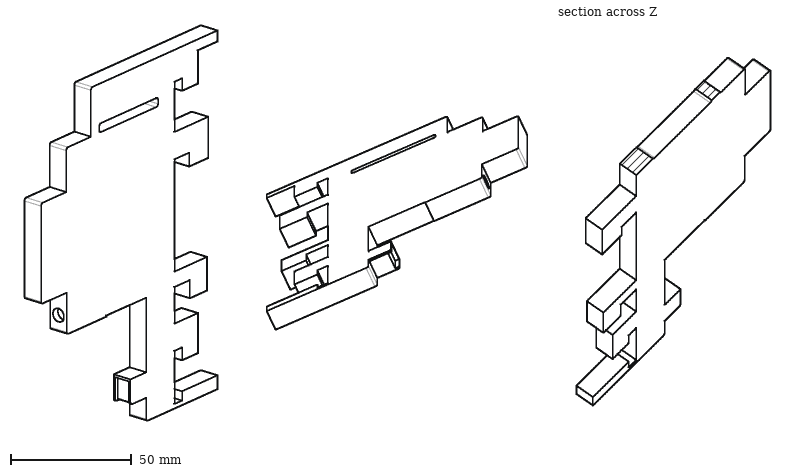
import cadquery as cq

thickness = 9.0
depth = 114.5
height = 160.0

front_y = -depth / 2
back_y = depth / 2
shoulder_y = front_y + 16.3
lower_shoulder_y = front_y + 16.6
top_front_y = front_y + 32.3
step_y = front_y + 42.4
boss_front_y = front_y + 58.0
stem_front_y = front_y + 68.2
spine_y = front_y + 86.6

bottom_z = -height / 2
top_z = height / 2
upper_shoulder_z = top_z - 22.0
nose_top_z = top_z - 41.6
nose_bottom_z = top_z - 86.6
body_bottom_z = top_z - 105.3
step_height = 0.5
boss_top_z = top_z - 138.1
boss_bottom_z = top_z - 150.1
boss_bottom_step = 0.6

top_arm_height = 5.0
bottom_arm_height = 6.2
bottom_notch_depth = 4.2
notch_width = 4.8
lip_tip_y = back_y - 12.6

hooks = [
    (lip_tip_y, top_z - top_arm_height, top_z - 14.2, top_z - 19.8, spine_y + notch_width),
    (back_y - 6.0, top_z - 36.7, top_z - 48.8, top_z - 55.0, spine_y + 9.5),
    (back_y - 6.7, top_z - 98.9, top_z - 105.8, top_z - 114.0, spine_y + 10.0),
    (lip_tip_y, top_z - 122.1, top_z - 134.3, top_z - 140.0, spine_y + notch_width),
]

corner_radius = 1.1

slot_length = 38.1
slot_height = 4.0
slot_center_y = top_front_y + 24.5
slot_center_z = top_z - 19.8

hole_diameter = 6.0
hole_depth = 3.2
hole_z = top_z - 97.8

recess_width = 7.4
recess_depth = 1.8
recess_top_gap = 1.1


def block(y_min, y_max, z_min, z_max, width=thickness):
    """Box centred on X = 0 that spans the given Y and Z ranges."""
    return cq.Workplane("XY").box(width, y_max - y_min, z_max - z_min).translate(
        (0, (y_min + y_max) / 2, (z_min + z_max) / 2)
    )


def hook(tip_y, arm_top_z, arm_bottom_z, lip_bottom_z, lip_inner_y):
    """Arm that reaches back from the spine and ends in a lip pointing down."""
    arm = block(spine_y, tip_y, arm_bottom_z, arm_top_z)
    lip = block(lip_inner_y, tip_y, lip_bottom_z, arm_top_z)
    return arm.union(lip)


def plate():
    """Stepped plate with its spine and bottom arm, extruded along X."""
    bottom_arm_top_z = bottom_z + bottom_arm_height
    notch_floor_z = bottom_arm_top_z - bottom_notch_depth
    notch_back_y = spine_y + notch_width
    outline = [
        (back_y, top_z),
        (top_front_y, top_z),
        (top_front_y, upper_shoulder_z),
        (shoulder_y, upper_shoulder_z),
        (shoulder_y, nose_top_z),
        (front_y, nose_top_z),
        (front_y, nose_bottom_z),
        (lower_shoulder_y, nose_bottom_z),
        (lower_shoulder_y, body_bottom_z),
        (step_y, body_bottom_z),
        (step_y, body_bottom_z + step_height),
        (stem_front_y, body_bottom_z + step_height),
        (stem_front_y, bottom_z),
        (back_y, bottom_z),
        (back_y, bottom_arm_top_z),
        (notch_back_y, bottom_arm_top_z),
        (notch_back_y, notch_floor_z),
        (spine_y, notch_floor_z),
        (spine_y, top_z - top_arm_height),
        (back_y, top_z - top_arm_height),
    ]
    return cq.Workplane("YZ").polyline(outline).close().extrude(thickness / 2, both=True)


def round_front_corners(body):
    """Round the outward corners of the stepped front side."""
    corners = [
        (top_front_y, top_z),
        (shoulder_y, upper_shoulder_z),
        (front_y, nose_top_z),
        (front_y, nose_bottom_z),
        (lower_shoulder_y, body_bottom_z),
        (stem_front_y, bottom_z),
    ]
    for corner_y, corner_z in corners:
        edge = cq.selectors.NearestToPointSelector((0, corner_y, corner_z))
        body = body.edges("|X").edges(edge).fillet(corner_radius)
    return body


def boss_section(x_min, x_max, section_bottom_z):
    """Part of the boss between two X values, rounded at its lower front edge."""
    section = block(boss_front_y, spine_y, section_bottom_z, boss_top_z, x_max - x_min)
    section = section.edges("<Y and <Z").fillet(corner_radius)
    return section.translate(((x_min + x_max) / 2, 0, 0))


def boss():
    """Boss on the stem front; its -X rib hangs slightly lower than the rest."""
    rib = boss_section(-thickness / 2, -recess_width / 2, boss_bottom_z)
    main = boss_section(-recess_width / 2, thickness / 2, boss_bottom_z + boss_bottom_step)
    return rib.union(main)


slot = (
    block(
        slot_center_y - slot_length / 2,
        slot_center_y + slot_length / 2,
        slot_center_z - slot_height / 2,
        slot_center_z + slot_height / 2,
    )
    .edges("|X")
    .fillet(corner_radius)
)

hole = (
    cq.Workplane("XZ", origin=(0, lower_shoulder_y, hole_z))
    .circle(hole_diameter / 2)
    .extrude(-hole_depth)
)

recess = block(
    boss_front_y,
    boss_front_y + recess_depth,
    boss_bottom_z,
    boss_top_z - recess_top_gap,
    recess_width,
)

result = round_front_corners(plate()).union(boss())
for hook_levels in hooks:
    result = result.union(hook(*hook_levels))
result = result.cut(slot).cut(hole).cut(recess)